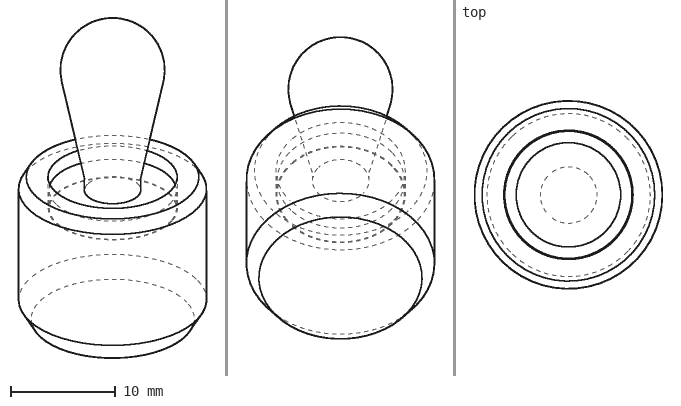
import cadquery as cq
import math

housing_radius = 9.0
housing_height = 15.5
top_chamfer_width = 0.75
bottom_chamfer_width = 1.2
chamfer_angle = math.radians(60)
bore_radius = 6.18

overall_height = 32.2
ball_radius = 5.007
neck_radius = 2.7
plate_clearance = 0.1
plate_depth = 1.42
plate_thickness = 2.0

plate_radius = bore_radius - plate_clearance
plate_top = housing_height - plate_depth
bore_floor = plate_top - plate_thickness
ball_center = overall_height - ball_radius

ball_rise = ball_center - housing_height
neck_to_ball = math.hypot(neck_radius, ball_rise)
tangent_angle = math.atan2(ball_rise, neck_radius) - math.acos(ball_radius / neck_to_ball)


def make_housing():
    """Barrel with a conical end at top and bottom, bored from the top."""
    top_chamfer_height = top_chamfer_width * math.tan(chamfer_angle)
    bottom_chamfer_height = bottom_chamfer_width * math.tan(chamfer_angle)
    barrel = (
        cq.Workplane("XZ")
        .lineTo(housing_radius - bottom_chamfer_width, 0)
        .lineTo(housing_radius, bottom_chamfer_height)
        .lineTo(housing_radius, housing_height - top_chamfer_height)
        .lineTo(housing_radius - top_chamfer_width, housing_height)
        .lineTo(0, housing_height)
        .close()
        .revolve(360, (0, 0), (0, 1))
    )
    bore = (
        cq.Workplane("XY")
        .workplane(offset=bore_floor)
        .circle(bore_radius)
        .extrude(housing_height - bore_floor)
    )
    return barrel.cut(bore)


def make_lever():
    """Plate on the bore floor, short neck, taper and ball, turned in one piece."""
    def ball_point(angle):
        return (ball_radius * math.cos(angle), ball_center + ball_radius * math.sin(angle))

    return (
        cq.Workplane("XZ")
        .moveTo(0, bore_floor)
        .lineTo(plate_radius, bore_floor)
        .lineTo(plate_radius, plate_top)
        .lineTo(neck_radius, plate_top)
        .lineTo(neck_radius, housing_height)
        .lineTo(*ball_point(-tangent_angle))
        .threePointArc(ball_point(math.pi / 4), (0, overall_height))
        .close()
        .revolve(360, (0, 0), (0, 1))
    )


housing = make_housing()
lever = make_lever()
result = cq.Compound.makeCompound([housing.val(), lever.val()])